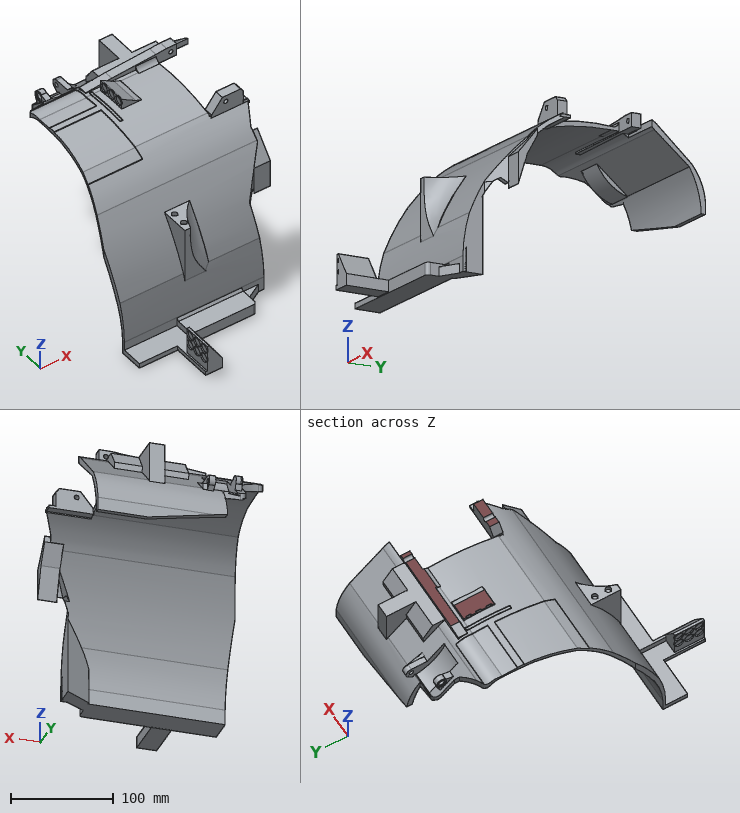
import cadquery as cq

LENGTH_X = 210.5
LENGTH_Y = 319.0

WALL_FACE_Y = 72.0
EDGE_X = 167.2
FOOT_RIGHT_X = 140.5

OUTER_START = (WALL_FACE_Y, 16.0)
OUTER_ARCS = [
    ((74.5, 39.5), (79.5, 60.5)),
    ((99.5, 100.2), (127.0, 137.0)),
    ((144.2, 152.5), (162.7, 163.7)),
    ((202.5, 171.0), (244.0, 170.7)),
    ((256.5, 170.0), (266.0, 164.0)),
]
OUTER_BACK_SLOPE_END = (303.8, 130.8)
OUTER_BACK_ARC = ((315.0, 112.3), (LENGTH_Y, 82.0))

INNER_START = (314.3, 82.0)
INNER_BACK_ARC = ((310.2, 107.0), (301.0, 127.5))
INNER_BACK_SLOPE_END = (261.7, 159.5)
INNER_ARCS = [
    ((253.0, 165.5), (242.5, 167.5)),
    ((202.5, 166.0), (164.0, 159.0)),
    ((145.5, 147.7), (130.2, 133.5)),
    ((103.0, 95.0), (83.5, 56.0)),
    ((78.2, 38.3), (75.3, 16.0)),
]

FOOT_FRONT_Y = 47.2
FOOT_THICKNESS = 5.7
RAISED_HEIGHT = 12.8
RAISED_LEFT_X = 63.0
TAB_LEFT_X = 45.3
TAB_RIGHT_X = 65.7
TAB_BOTTOM_Z = 1.0
BLOCK_LENGTH_Y = 33.8
BLOCK_TOP_Z = 36.7

DIMPLE_DIAMETER = 10.2
DIMPLE_DEPTH = 1.5
DIMPLE_PITCH = 11.5

BLOCK_LEFT_X = 47.2
BLOCK_TOP_WIDTH = 3.0
BLOCK_DIMPLE_Y = 5.7
BLOCK_DIMPLE_Z = 18.8
FOOT_BACK_Y = WALL_FACE_Y + 3.2
CORNER_RADIUS = 3.8
COVE_SIZE = 2.5
CORNER_PAD_HEIGHT = 9.5
CORNER_WALL_HEIGHT = 100.2

CEILING_Z = 191.5
SHELL_BITE = 2.0
PANEL_RIGHT_X = 78.2
RECESS_DEPTH = 1.0
BLISTER_LEFT_X = 62.2
BLISTER_RIGHT_X = 88.0
BLISTER_WALL = 2.2
STEP_LEFT_X = 76.0
STEP_RIGHT_X = 106.0
STEP_FRONT_Y = 77.2
STEP_BACK_Y = 116.5
STEP_TOP_Z = 117.0
STEP_HOLLOW_X = 0.38
STEP_HOLLOW_Y = 0.55
STEP_HOLE_X = 82.3
STEP_HOLES_Y = (87.8, 103.0)
STEP_HOLE_DEPTH = 4.8
CATCH_LEFT_X = 184.8
CATCH_RIGHT_X = 204.2
CATCH_FRONT_Y = 113.0
CATCH_TOP_Z = 117.5
BAY_RIGHT_X = 165.0
LUG_FRONT_Y = 157.0
LUG_BACK_Y = 168.0
LUG_HOLE_X = 182.5
LUG_HOLE_Z = 173.5
BACK_LUG_HOLE = (307.3, 137.5)
RAIL_FRONT_Y = 248.3
RAIL_BACK_Y = 258.8
RIB_LEFT_X = 138.0
RIB_RIGHT_X = 153.5
RIB_PAD_LEFT_X = 106.0
RIB_PAD_RIGHT_X = 182.0
RIB_TOP_Z = 170.7
BACK_LUG_RADIUS = 6.0
BACK_LUG_WIDTH = 6.5
BACK_GUSSET_WIDTH = 4.5
BOSS_CENTER = (292.0, 149.3)
BOSS_RADIUS = 6.0
BOSS_LEFT_X = 55.5
BOSS_RIGHT_X = 62.2
BOSS_BORE_DEPTH = 1.3
BOSS_HOLE_DEPTH = 4.5

LUG_HOLE_DIAMETER = 4.8
BOSS_DIAMETER = 10.2
PIN_HOLE_DIAMETER = 6.5


def prism_x(points, x_start, x_end):
    """Extrude a (Y, Z) outline along X."""
    return cq.Workplane("YZ").workplane(offset=x_start).polyline(points).close().extrude(x_end - x_start)


def prism_y(points, y_start, y_end):
    """Extrude an (X, Z) outline along Y."""
    return cq.Workplane("XZ").workplane(offset=-y_start).polyline(points).close().extrude(y_start - y_end)


def prism_z(points, z_start, z_end):
    """Extrude an (X, Y) outline along Z."""
    return cq.Workplane("XY").workplane(offset=z_start).polyline(points).close().extrude(z_end - z_start)


def box(x, y, z):
    """Box from three (start, end) ranges."""
    corner = (x[0], y[0], z[0])
    return cq.Workplane("XY").box(x[1] - x[0], y[1] - y[0], z[1] - z[0], centered=False).translate(corner)


def cylinder_x(diameter, y, z, x_start, x_end):
    """Round bar along X."""
    plane = cq.Workplane("YZ").workplane(offset=x_start)
    return plane.center(y, z).circle(diameter / 2).extrude(x_end - x_start)


def cylinder_y(diameter, x, z, y_start, y_end):
    """Round bar along Y."""
    plane = cq.Workplane("XZ").workplane(offset=-y_start)
    return plane.center(x, z).circle(diameter / 2).extrude(y_start - y_end)


def outer_edge(sketch):
    """Draw the outer profile from the front wall over the crown to the back lip."""
    for mid, end in OUTER_ARCS:
        sketch = sketch.threePointArc(mid, end)
    return sketch.lineTo(*OUTER_BACK_SLOPE_END).threePointArc(*OUTER_BACK_ARC)


def profile_band():
    """Thin arch of the shell profile over the whole width."""
    sketch = cq.Workplane("YZ").moveTo(WALL_FACE_Y, 0).lineTo(*OUTER_START)
    sketch = outer_edge(sketch).lineTo(*INNER_START).threePointArc(*INNER_BACK_ARC)
    sketch = sketch.lineTo(*INNER_BACK_SLOPE_END)
    for mid, end in INNER_ARCS:
        sketch = sketch.threePointArc(mid, end)
    return sketch.lineTo(INNER_ARCS[-1][1][0], 0).close().extrude(LENGTH_X)


def filled_profile():
    """Everything under the outer surface, used to trim parts hanging below it."""
    sketch = outer_edge(cq.Workplane("YZ").moveTo(WALL_FACE_Y, 0).lineTo(*OUTER_START))
    return sketch.lineTo(LENGTH_Y, 0).close().extrude(LENGTH_X)


def shell():
    """Arched shell trimmed to its plan outline."""
    plan = (
        cq.Workplane("XY")
        .moveTo(0, 0)
        .lineTo(0, 106.3)
        .threePointArc((13.0, 150.5), (21.7, 208.5))
        .lineTo(22.3, 255.3)
        .threePointArc((23.5, 261.7), (28.5, 264.2))
        .threePointArc((40.2, 269.3), (50.0, 275.7))
        .lineTo(52.0, 280.2)
        .lineTo(52.0, 295.5)
        .threePointArc((54.2, 300.5), (59.5, 302.5))
        .lineTo(78.0, 303.5)
        .lineTo(78.0, LENGTH_Y)
        .lineTo(LENGTH_X, LENGTH_Y)
        .lineTo(LENGTH_X, RAIL_BACK_Y)
        .lineTo(BAY_RIGHT_X, RAIL_BACK_Y)
        .lineTo(BAY_RIGHT_X, 159.5)
        .lineTo(LENGTH_X, 159.5)
        .lineTo(198.5, 137.2)
        .lineTo(198.5, 126.5)
        .lineTo(EDGE_X, 96.5)
        .lineTo(EDGE_X, 0)
        .close()
        .extrude(CEILING_Z)
    )
    return profile_band().intersect(plan).cut(lip_bevel())


def lip_bevel():
    """Slanted trim under the left part of the back lip."""
    return prism_y([(76.5, 63.8), (76.5, 98.3), (159.5, 82.0), (159.5, 63.8)], 306.3, LENGTH_Y)


def panel_recesses():
    """Two shallow panels and a narrow groove sunk into the outer surface of the crown."""
    sunk = filled_profile().translate((0, 0, -RECESS_DEPTH))
    skin = filled_profile().cut(sunk)
    lower = box((0, PANEL_RIGHT_X), (150.5, 219.2), (0, CEILING_Z))
    upper = box((0, PANEL_RIGHT_X), (227.0, 263.0), (0, CEILING_Z))
    groove = box((84.2, 87.5), (196.2, 247.0), (0, CEILING_Z))
    return skin.intersect(lower.union(upper).union(groove))


def blister():
    """Solid bulge hanging under the back slope."""
    outline = cq.Workplane("YZ").workplane(offset=BLISTER_LEFT_X - BLISTER_WALL)
    outline = outline.moveTo(303.0, 129.5).lineTo(301.0, 127.0)
    outline = outline.threePointArc((281.8, 137.0), (266.5, 155.7)).lineTo(266.5, 159.5).close()
    return outline.extrude(BLISTER_RIGHT_X - BLISTER_LEFT_X + 2 * BLISTER_WALL)


def blister_cavity():
    """Cylindrical hollow of the blister, open on the outer side of the shell."""
    outline = cq.Workplane("YZ").workplane(offset=BLISTER_LEFT_X).moveTo(302.0, 130.2)
    outline = outline.threePointArc((283.5, 139.0), (268.7, 158.3)).lineTo(280.8, 172.3).lineTo(312.7, 140.5).close()
    return outline.extrude(BLISTER_RIGHT_X - BLISTER_LEFT_X)


def foot():
    """Foot plate with its raised right part, tab and sensor block."""
    low = box((0, FOOT_RIGHT_X), (FOOT_FRONT_Y, FOOT_BACK_Y), (0, FOOT_THICKNESS))
    tab = box((TAB_LEFT_X, TAB_RIGHT_X), (0, FOOT_FRONT_Y), (TAB_BOTTOM_Z, FOOT_THICKNESS))
    raised = box((RAISED_LEFT_X, FOOT_RIGHT_X), (FOOT_FRONT_Y, FOOT_BACK_Y), (0, RAISED_HEIGHT))
    corner = "|Z and >X and <Y"
    low = low.edges(corner).fillet(CORNER_RADIUS)
    raised = raised.edges(corner).fillet(CORNER_RADIUS)
    strip = box((RAISED_LEFT_X, TAB_RIGHT_X), (BLOCK_LENGTH_Y, FOOT_FRONT_Y), (TAB_BOTTOM_Z, RAISED_HEIGHT))
    cove = prism_x(
        [
            (WALL_FACE_Y, RAISED_HEIGHT),
            (WALL_FACE_Y - COVE_SIZE, RAISED_HEIGHT),
            (WALL_FACE_Y, RAISED_HEIGHT + COVE_SIZE),
        ],
        RAISED_LEFT_X,
        FOOT_RIGHT_X,
    )
    return low.union(tab).union(raised).union(strip).union(cove).union(foot_block())


def foot_block():
    """Wedge-shaped block with two rows of three round dimples on its left face."""
    block = prism_y(
        [
            (BLOCK_LEFT_X, TAB_BOTTOM_Z),
            (BLOCK_LEFT_X, BLOCK_TOP_Z),
            (BLOCK_LEFT_X + BLOCK_TOP_WIDTH, BLOCK_TOP_Z),
            (TAB_RIGHT_X, RAISED_HEIGHT),
            (TAB_RIGHT_X, TAB_BOTTOM_Z),
        ],
        0,
        BLOCK_LENGTH_Y,
    )
    for row in range(2):
        block = block.cut(dimple_row(BLOCK_LEFT_X, BLOCK_DIMPLE_Y, BLOCK_DIMPLE_Z + row * DIMPLE_PITCH))
    return block


def dimple_row(face_x, first_y, z):
    """Three shallow round dimples in a face that looks toward -X."""
    row = cq.Workplane("XY")
    for index in range(3):
        y = first_y + index * DIMPLE_PITCH
        row = row.add(cylinder_x(DIMPLE_DIAMETER, y, z, face_x, face_x + DIMPLE_DEPTH))
    return row.combine()


def corner_pad():
    """Slanted wall that closes the shell at the right of the foot."""
    back_edge = [(EDGE_X, 76.0), (EDGE_X, 94.5), (FOOT_RIGHT_X, 78.0)]
    base = prism_z([(FOOT_RIGHT_X, 60.5)] + back_edge, 0, CORNER_PAD_HEIGHT)
    wall = prism_z([(FOOT_RIGHT_X, 73.5)] + back_edge, 0, CORNER_WALL_HEIGHT)
    return base.union(wall.intersect(filled_profile()))


def step_block():
    """Upright block with a flat top, hollowed along its right side."""
    levels = [
        (49.8, 103.5, 78.0),
        (63.8, 93.8, 80.5),
        (78.5, 86.8, 86.8),
        (95.7, 83.3, 96.5),
        (STEP_TOP_Z, 83.0, 110.7),
    ]
    block = cq.Workplane("XY")
    base_z = 0
    for z, edge_x, shell_y in levels:
        hollow_x = edge_x + STEP_HOLLOW_X * (STEP_RIGHT_X - edge_x)
        hollow_y = STEP_FRONT_Y + STEP_HOLLOW_Y * (shell_y - STEP_FRONT_Y)
        block = block.workplane(offset=z - base_z)
        block = block.moveTo(STEP_LEFT_X, STEP_FRONT_Y).lineTo(edge_x, STEP_FRONT_Y)
        block = block.threePointArc((hollow_x, hollow_y), (STEP_RIGHT_X, shell_y))
        block = block.lineTo(STEP_RIGHT_X, STEP_BACK_Y).lineTo(STEP_LEFT_X, STEP_BACK_Y).close()
        base_z = z
    block = block.loft(combine=True).intersect(above_shell())
    for y in STEP_HOLES_Y:
        block = block.cut(
            cq.Workplane("XY", origin=(STEP_HOLE_X, y, STEP_TOP_Z - STEP_HOLE_DEPTH))
            .circle(PIN_HOLE_DIAMETER / 2)
            .extrude(STEP_HOLE_DEPTH)
        )
    return block


def above_shell():
    """Space outside the inner surface of the shell, kept clear for the parts standing on it."""
    inside = filled_profile().translate((0, SHELL_BITE, 0))
    return box((0, LENGTH_X), (0, LENGTH_Y), (0, CEILING_Z)).cut(inside)


def side_catch():
    """Flat-faced catch under the right edge of the front slope, with a skirt along the slanted edge."""
    catch = prism_x(
        [
            (CATCH_FRONT_Y, 85.2),
            (CATCH_FRONT_Y, CATCH_TOP_Z),
            (134.7, 144.2),
            (134.7, 138.0),
            (123.2, CATCH_TOP_Z),
        ],
        CATCH_LEFT_X,
        CATCH_RIGHT_X,
    )
    skirt_plan = [(EDGE_X, 96.5), (CATCH_LEFT_X, CATCH_FRONT_Y), (194.5, 126.0), (191.5, 126.0), (EDGE_X, 101.5)]
    skirt_side = prism_x(
        [(CATCH_FRONT_Y, 91.0), (107.5, 97.0), (102.0, 93.8), (92.5, 93.8), (124.5, 137.2), (123.2, CATCH_TOP_Z)],
        EDGE_X,
        CATCH_RIGHT_X,
    )
    skirt = prism_z(skirt_plan, 0, CEILING_Z).intersect(skirt_side).intersect(filled_profile())
    return catch.union(skirt)


def crown_block():
    """Wedge on the crown with one row of dimples on its left face."""
    left_x = 95.0
    base_z = 169.0
    outline = [(left_x, base_z), (left_x, 183.5), (97.0, 183.0), (111.7, 174.2), (119.0, 171.7), (119.0, base_z)]
    first_dimple_y = 214.8
    dimple_z = 177.7
    return prism_y(outline, 208.7, 243.8).cut(dimple_row(left_x, first_dimple_y, dimple_z))


def lug_hole():
    """Pivot hole through the front lug and the rail, on one axis."""
    return cylinder_y(LUG_HOLE_DIAMETER, LUG_HOLE_X, LUG_HOLE_Z, LUG_FRONT_Y, RAIL_BACK_Y)


def front_lug():
    """Flange and upright lug at the right edge of the front slope."""
    flange = box((BAY_RIGHT_X, LENGTH_X), (LUG_FRONT_Y, LUG_BACK_Y), (158.0, 160.8))
    lug = prism_y(
        [(165.5, 159.5), (165.5, 164.3), (178.5, 180.5), (200.0, 180.5), (203.5, 176.5), (203.5, 159.5)],
        LUG_FRONT_Y,
        LUG_BACK_Y,
    )
    return flange.union(lug)


def rail():
    """Rail along the top of the back slope, rising gently to the right, with a cove in front of it."""
    cove = cq.Workplane("YZ").workplane(offset=FOOT_RIGHT_X)
    cove = cove.moveTo(RAIL_FRONT_Y, 167.5).lineTo(RAIL_FRONT_Y, 176.0)
    cove = cove.threePointArc((245.7, 172.3), (240.0, 170.7)).lineTo(240.0, 167.5).close()
    cove = cove.extrude(BAY_RIGHT_X - FOOT_RIGHT_X)
    bar = prism_y(
        [(80.5, 165.3), (80.5, 172.0), (111.7, 175.2), (164.5, 179.0), (177.5, 180.3), (189.5, 180.3), (189.5, 166.0)],
        RAIL_FRONT_Y,
        RAIL_BACK_Y,
    )
    return bar.union(cove)


def back_rib():
    """Tall rib and the low pad it stands on."""
    rib_side = [(305.7, 126.0), (305.7, RIB_TOP_Z), (RAIL_BACK_Y, RIB_TOP_Z), (RAIL_BACK_Y, 166.0)]
    pad_side = [(257.8, 166.0), (257.8, RIB_TOP_Z), (272.5, RIB_TOP_Z), (283.5, 155.7), (282.7, 146.8)]
    rib = prism_x(rib_side, RIB_LEFT_X, RIB_RIGHT_X)
    pad = prism_x(pad_side, RIB_PAD_LEFT_X, RIB_PAD_RIGHT_X)
    return rib.union(pad)


def round_lug(center, radius, root_points, x_start, x_end):
    """Plate with a round end, rooted in the back slope."""
    root = prism_x(root_points, x_start, x_end)
    return root.union(cylinder_x(2 * radius, *center, x_start, x_end))


def back_lugs():
    """Drilled lug beside the blister and counterbored boss lug at its left."""
    lug_left_x = BLISTER_RIGHT_X
    lug_right_x = lug_left_x + BACK_LUG_WIDTH
    gusset_right_x = lug_right_x + BACK_GUSSET_WIDTH
    lug_points = [(310.2, 132.0), (305.0, 127.5), (285.5, 143.5), (307.3, 143.5)]
    lug = round_lug(BACK_LUG_HOLE, BACK_LUG_RADIUS, lug_points, lug_left_x, lug_right_x)
    gusset = prism_x([(306.3, 128.3), (287.2, 145.0), (305.7, 135.3)], lug_right_x, gusset_right_x)
    lug = lug.union(gusset).cut(cylinder_x(LUG_HOLE_DIAMETER, *BACK_LUG_HOLE, lug_left_x, gusset_right_x))

    boss_points = [(296.8, 145.0), (293.5, 138.0), (277.0, 152.0), (287.8, 154.0)]
    boss = round_lug(BOSS_CENTER, BOSS_RADIUS, boss_points, BOSS_LEFT_X, BOSS_RIGHT_X)
    for diameter, depth in ((BOSS_DIAMETER, BOSS_BORE_DEPTH), (PIN_HOLE_DIAMETER, BOSS_HOLE_DEPTH)):
        boss = boss.cut(cylinder_x(diameter, *BOSS_CENTER, BOSS_LEFT_X, BOSS_LEFT_X + depth))
    return lug.union(boss)


result = shell().cut(panel_recesses()).union(blister()).cut(blister_cavity())
for feature in (
    foot(),
    corner_pad(),
    step_block(),
    side_catch(),
    crown_block(),
    front_lug(),
    rail(),
    back_rib(),
    back_lugs(),
):
    result = result.union(feature)
result = result.cut(lug_hole())